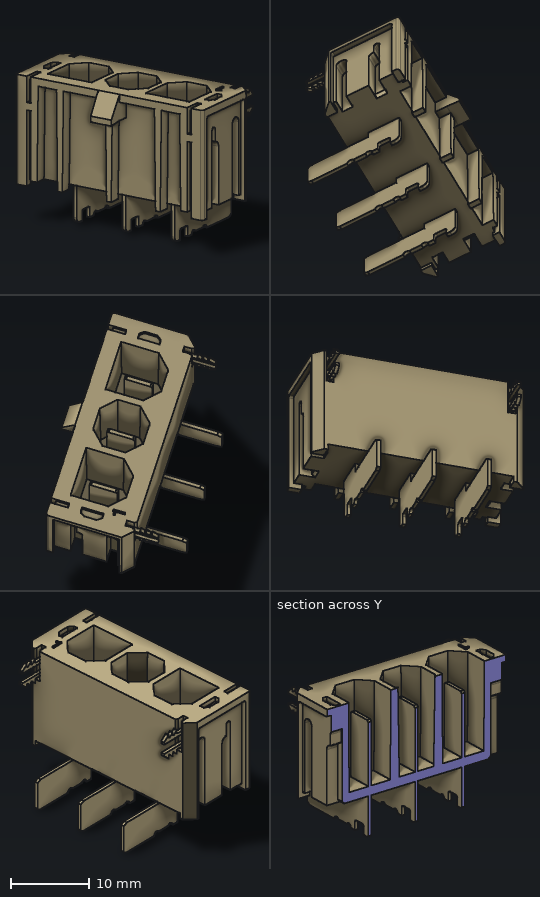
import cadquery as cq


length = 28.57
width = 11.49
core_height = 14.0
flange_height = 14.77
back_chamfer = 1.29
front_corner_radius = 0.4

end_recess_depth = 0.65
end_recess_top = -1.05
end_recess_front = 1.0
end_recess_back = 9.9
end_recess_radius = 0.29

channel_inner_x = 11.9
channel_width = 0.6
channel_outer_x = channel_inner_x + channel_width

slot_top = -3.3
back_slot_front = 7.97
back_slot_back = 9.49
front_slot_front = 3.17
front_slot_neck_back = 3.97
front_slot_back = 4.75
front_slot_shoulder = -5.35
front_slot_lead_in = 0.43

front_channel_depth = 2.43
front_channel_step = -0.63
front_channel_shallow = 0.69
bridge_top = -3.5
bridge_bottom = -4.55
bridge_slope = 0.25

crescent_y = 5.6
crescent_length = 2.89
crescent_outer_x = 13.0
crescent_centre_x = 11.23
crescent_radius = 1.95
crescent_depth = 0.7

pitch = 7.45
contact_xs = (-pitch, 0.0, pitch)
cavity_depth = 12.57
outer_cavity_draft = 0.5
middle_cavity_draft = 0.7
cavity_chamfer = 1.83
outer_cavity_size = (6.69, 6.89)
middle_cavity_size = (6.5, 6.7)
cavity_y = 5.7

panel_depth = 1.63
panel_top = -1.05
panel_half_top = 10.77
panel_half_bottom = 10.95
rib_bottom = -14.68
rib_top_width = 1.05
rib_bottom_width = 0.7

latch_reach = 1.85
latch_lip_top = -2.97
latch_lip_bottom = -3.77
latch_root_bottom = -3.57
latch_half_top = 1.63
latch_half_bottom = 1.55

contact_thickness = 0.5
blade_top = -3.35
blade_front = 3.83
blade_back = 7.57
blade_chamfer = 0.25
stem_front = 3.55
stem_back = 8.05
tail_end = 16.85
tail_top = -15.2
tail_bottom = -19.77
tail_chamfer_length = 0.57
tail_chamfer_height = 0.29
tail_corner_radius = 0.77
tail_notch_front = 4.85
tail_notch_back = 6.65
tail_notch_height = 1.49
tail_notch_radius = 0.29
dimple_ys = (8.05, 10.63)
dimple_radius = 0.49
dimple_web_height = 0.25

clip_x = 12.25
clip_thickness = 0.5
clip_channel_front = 10.17
clip_channel_width = 0.7
clip_mouth = 0.17
clip_mid_z = -2.8
clip_root = 9.6
clip_tip = 14.48
prong_inner = 0.7
prong_outer = 1.23
barb_height = 1.83
barb_root_height = 1.3
tip_height = 1.05
barb_ys = (12.09, 12.85, 13.63)
barb_ramp = 0.57
barb_root_radius = 0.15

mark_height = 0.1
mark_x = 11.1
mark_width = 0.23
mark_front = 8.09
mark_length = 1.6
mark_flag_y = 8.37
mark_flag_length = 0.49


def block(x0, x1, y0, y1, z0, z1):
    return cq.Workplane("XY").box(x1 - x0, y1 - y0, z1 - z0, centered=False).translate((x0, y0, z0))


def side_profile(points, x0, x1):
    """Prism from (y, z) points, spanning x0 to x1."""
    return cq.Workplane("YZ", origin=(x0, 0, 0)).polyline(points).close().extrude(x1 - x0)


def front_profile(points, y0, y1):
    """Prism from (x, z) points, spanning y0 to y1."""
    return cq.Workplane("XZ", origin=(0, y0, 0)).polyline(points).close().extrude(y0 - y1)


def both_ends(solid):
    """The solid together with its mirror image at the opposite X end."""
    return solid.union(solid.mirror("YZ"))


def housing_block():
    half = length / 2
    body = block(-half, half, 0, width, -flange_height, 0)
    body = body.edges("|Z and >Y").chamfer(back_chamfer)
    body = body.edges("|Z and <Y").fillet(front_corner_radius)
    under = block(-channel_outer_x, channel_outer_x, 0, width, -flange_height, -core_height)
    under = under.union(block(-half, half, end_recess_front, end_recess_back, -flange_height, -core_height))
    return body.cut(under)


def end_recess():
    recess = block(
        length / 2 - end_recess_depth,
        length / 2,
        end_recess_front,
        end_recess_back,
        -flange_height,
        end_recess_top,
    )
    return recess.edges("|X and >Z").fillet(end_recess_radius)


def end_slots():
    floor_x = channel_inner_x
    depth = length / 2 - floor_x
    plane = cq.Workplane("YZ", origin=(floor_x, 0, 0))

    back_radius = (back_slot_back - back_slot_front) / 2
    back_slot = (
        plane.moveTo(back_slot_front, -core_height)
        .lineTo(back_slot_front, slot_top - back_radius)
        .radiusArc((back_slot_back, slot_top - back_radius), back_radius)
        .lineTo(back_slot_back, -core_height)
        .close()
        .extrude(depth)
    )

    neck_radius = (front_slot_neck_back - front_slot_front) / 2
    shoulder_radius = front_slot_back - front_slot_neck_back
    front_slot = (
        plane.moveTo(front_slot_front, -core_height)
        .lineTo(front_slot_front, slot_top - neck_radius)
        .radiusArc((front_slot_neck_back, slot_top - neck_radius), neck_radius)
        .lineTo(front_slot_neck_back, front_slot_shoulder)
        .radiusArc((front_slot_back, front_slot_shoulder - shoulder_radius), shoulder_radius)
        .lineTo(front_slot_back, -core_height)
        .close()
        .extrude(depth)
    )
    lead_in = front_profile(
        [
            (floor_x, -core_height),
            (floor_x - front_slot_lead_in, -core_height),
            (floor_x, -core_height + front_slot_lead_in),
        ],
        front_slot_front,
        front_slot_back,
    )
    return back_slot.union(front_slot).union(lead_in)


def front_channels():
    upper = [
        (0, 0),
        (front_channel_depth, 0),
        (front_channel_depth, front_channel_step),
        (front_channel_shallow, front_channel_step),
        (front_channel_shallow, bridge_top),
        (0, bridge_top),
    ]
    lower = [
        (0, bridge_bottom),
        (front_channel_shallow, bridge_bottom - bridge_slope),
        (front_channel_shallow, -core_height),
        (0, -core_height),
    ]
    channels = side_profile(upper, channel_inner_x, channel_outer_x)
    return channels.union(side_profile(lower, channel_inner_x, channel_outer_x))


def clip_channel():
    half = clip_channel_width / 2
    outline = [
        (clip_x - half, clip_channel_front),
        (clip_x + half, clip_channel_front),
        (clip_x + half, width - 2 * clip_mouth),
        (clip_x + half + clip_mouth, width),
        (clip_x - half - clip_mouth, width),
        (clip_x - half, width - 2 * clip_mouth),
    ]
    return cq.Workplane("XY").polyline(outline).close().extrude(bridge_bottom)


def crescent():
    disc = (
        cq.Workplane("XY")
        .center(crescent_centre_x, crescent_y)
        .circle(crescent_radius)
        .extrude(-crescent_depth)
    )
    limits = block(
        channel_inner_x,
        crescent_outer_x,
        crescent_y - crescent_length / 2,
        crescent_y + crescent_length / 2,
        -crescent_depth,
        0,
    )
    return disc.intersect(limits)


def cavity(x, size, draft, octagonal):
    """Drafted contact cavity; the front corners are square unless octagonal."""
    plan = cq.Workplane("XY").rect(*size).extrude(-cavity_depth)
    corners = "|Z" if octagonal else "|Z and >Y"
    plan = plan.edges(corners).chamfer(cavity_chamfer)
    outline = plan.faces(">Z").wires().toPending()
    drafted = outline.workplane().extrude(-cavity_depth, taper=draft, combine=False)
    return drafted.translate((x, cavity_y, 0))


def panel_recess():
    outline = [
        (-panel_half_top, panel_top),
        (panel_half_top, panel_top),
        (panel_half_bottom, -core_height),
        (-panel_half_bottom, -core_height),
    ]
    return front_profile(outline, 0, panel_depth)


def rib(x):
    outline = [
        (x - rib_top_width / 2, panel_top),
        (x + rib_top_width / 2, panel_top),
        (x + rib_bottom_width / 2, rib_bottom),
        (x - rib_bottom_width / 2, rib_bottom),
    ]
    return front_profile(outline, 0, panel_depth)


def latch():
    side = [
        (panel_depth, 0),
        (0, 0),
        (-latch_reach, latch_lip_top),
        (-latch_reach, latch_lip_bottom),
        (0, latch_root_bottom),
        (panel_depth, latch_root_bottom),
    ]
    front = [
        (-latch_half_top, 0),
        (latch_half_top, 0),
        (latch_half_bottom, latch_lip_bottom),
        (-latch_half_bottom, latch_lip_bottom),
    ]
    wedge = side_profile(side, -latch_half_top, latch_half_top)
    return wedge.intersect(front_profile(front, -latch_reach, panel_depth))


def contact(x):
    """Flat contact: blade in the cavity, stem through the floor, tail bent toward +Y."""
    x0 = x - contact_thickness / 2
    x1 = x + contact_thickness / 2
    outline = [
        (blade_front, -core_height),
        (blade_front, blade_top - blade_chamfer),
        (blade_front + blade_chamfer, blade_top),
        (blade_back - blade_chamfer, blade_top),
        (blade_back, blade_top - blade_chamfer),
        (blade_back, -core_height),
        (stem_back, -core_height),
        (stem_back, tail_top),
        (tail_end - tail_chamfer_length, tail_top),
        (tail_end, tail_top - tail_chamfer_height),
        (tail_end, tail_bottom + tail_chamfer_height),
        (tail_end - tail_chamfer_length, tail_bottom),
        (stem_front, tail_bottom),
        (stem_front, -core_height),
    ]
    plate = side_profile(outline, x0, x1)
    plate = plate.edges("|X and <Y and <Z").fillet(tail_corner_radius)

    notch = block(x0, x1, tail_notch_front, tail_notch_back, tail_bottom, tail_bottom + tail_notch_height)
    plate = plate.cut(notch.edges("|X and >Z").fillet(tail_notch_radius))

    plate = plate.cut(block(x0, x1, *dimple_ys, tail_bottom, tail_bottom + dimple_web_height))
    dimples = (
        cq.Workplane("YZ", origin=(x0, 0, 0))
        .pushPoints([(y, tail_bottom) for y in dimple_ys])
        .circle(dimple_radius)
        .extrude(contact_thickness)
    )
    return plate.cut(dimples)


def clip():
    """Two barbed prongs mirrored about the clip's middle height."""
    inner_z = clip_mid_z + prong_inner
    root_z = clip_mid_z + prong_outer
    outline = cq.Workplane("YZ", origin=(clip_x - clip_thickness / 2, 0, 0))
    outline = outline.moveTo(clip_root, inner_z).lineTo(clip_root, root_z)
    for y in barb_ys:
        outline = outline.lineTo(y - barb_root_radius, root_z)
        outline = outline.radiusArc((y, root_z + barb_root_radius), -barb_root_radius)
        outline = outline.lineTo(y, clip_mid_z + barb_height)
        root_z = clip_mid_z + barb_root_height
        if y != barb_ys[-1]:
            outline = outline.lineTo(y + barb_ramp, root_z)
    outline = outline.lineTo(clip_tip, clip_mid_z + tip_height).lineTo(clip_tip, inner_z)
    prong = outline.close().extrude(clip_thickness)
    return prong.union(prong.mirror("XY", (0, 0, clip_mid_z)))


def pin_one_mark():
    x0 = mark_x - mark_width / 2
    x1 = mark_x + mark_width / 2
    bar = block(x0, x1, mark_front, mark_front + mark_length, 0, mark_height)
    flag = block(
        x1, x1 + mark_flag_length, mark_flag_y - mark_width / 2, mark_flag_y + mark_width / 2, 0, mark_height
    )
    return bar.union(flag)


result = housing_block()
for opening in (end_recess(), end_slots(), front_channels(), clip_channel(), crescent()):
    result = result.cut(both_ends(opening))
result = result.cut(panel_recess())
for contact_x in contact_xs:
    is_middle = contact_x == 0
    cavity_size = middle_cavity_size if is_middle else outer_cavity_size
    cavity_draft = middle_cavity_draft if is_middle else outer_cavity_draft
    result = result.cut(cavity(contact_x, cavity_size, cavity_draft, is_middle))

for contact_x in contact_xs:
    result = result.union(rib(contact_x))
    result = result.union(contact(contact_x))
result = result.union(latch())
result = result.union(both_ends(clip()))
result = result.union(pin_one_mark())